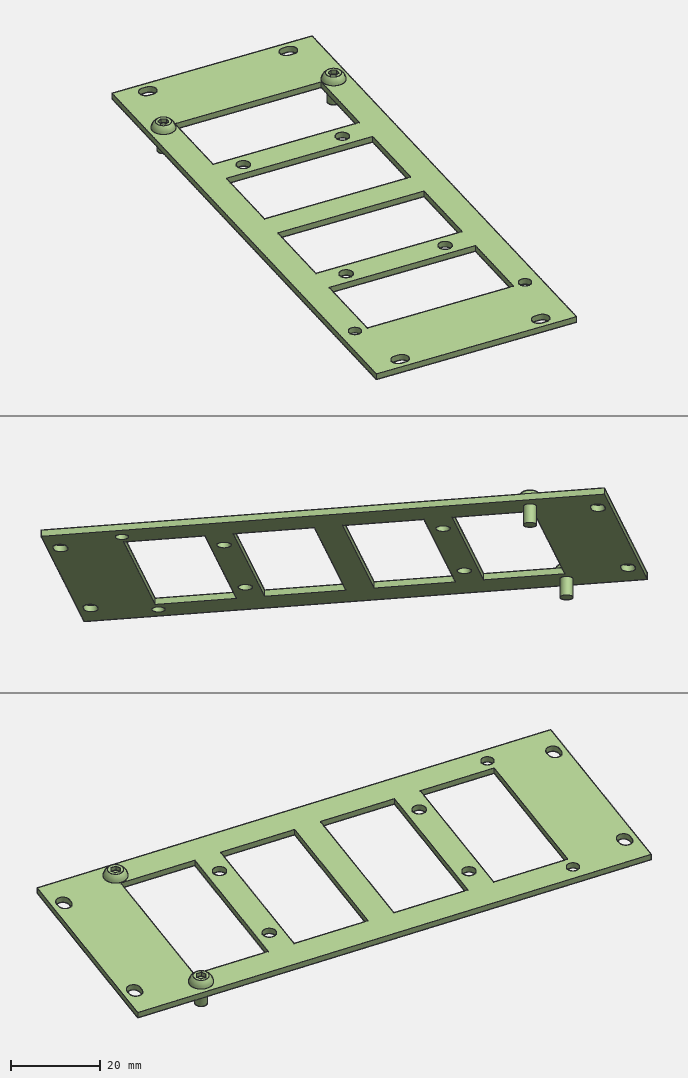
import cadquery as cq
import math

PANEL_LENGTH = 128.5
PANEL_WIDTH = 50.5
PANEL_THICKNESS = 1.5

WINDOW_COUNT = 4
WINDOW_LENGTH = 18.5
WINDOW_WIDTH = 36.9
WINDOW_ROW_LENGTH = 93.4
WINDOW_PITCH = (WINDOW_ROW_LENGTH - WINDOW_LENGTH) / (WINDOW_COUNT - 1)

WEB_HOLE_DIAMETER = 3.2
WEB_HOLE_X = WINDOW_PITCH
WEB_HOLE_Y = WINDOW_PITCH / 2

SLOT_LENGTH = 4.2
SLOT_WIDTH = 3.2
SLOT_X = 61.3
SLOT_Y = 17.7

SHANK_DIAMETER = 3.0
SCREW_X = 46.5
SCREW_Y = 21.5
SCREW_HEIGHT = 7.7
HEAD_DIAMETER = 5.7
HEAD_HEIGHT = 1.7
HEAD_TOP_DIAMETER = 3.6
HEAD_BULGE = 0.19

SOCKET_ACROSS_FLATS = 2.0
SOCKET_DEPTH = 1.0
SOCKET_TIP_ANGLE = 120


def mirrored_points(x, y):
    """Four points placed symmetrically about both panel centre lines."""
    return [(sx * x, sy * y) for sx in (-1, 1) for sy in (-1, 1)]


def make_panel():
    plate = cq.Workplane("XY").box(
        PANEL_LENGTH, PANEL_WIDTH, PANEL_THICKNESS, centered=(True, True, False)
    )
    base = cq.Workplane("XY")
    windows = (
        base.rarray(WINDOW_PITCH, 1.3, WINDOW_COUNT, 1)
        .rect(WINDOW_LENGTH, WINDOW_WIDTH)
        .extrude(PANEL_THICKNESS)
    )
    web_holes = (
        base.pushPoints(mirrored_points(WEB_HOLE_X, WEB_HOLE_Y))
        .circle(WEB_HOLE_DIAMETER / 2)
        .extrude(PANEL_THICKNESS)
    )
    slots = (
        base.pushPoints(mirrored_points(SLOT_X, SLOT_Y))
        .slot2D(SLOT_LENGTH, SLOT_WIDTH, 90)
        .extrude(PANEL_THICKNESS)
    )
    screw_holes = (
        base.pushPoints(mirrored_points(SCREW_X, SCREW_Y))
        .circle(SHANK_DIAMETER / 2)
        .extrude(PANEL_THICKNESS)
    )
    return plate.cut(windows).cut(web_holes).cut(slots).cut(screw_holes)


def make_socket(top_z):
    """Hexagonal socket cutter, flats facing X, with a cone below its floor."""
    floor_z = top_z - SOCKET_DEPTH
    cone_radius = SOCKET_ACROSS_FLATS / 2
    cone_depth = cone_radius / math.tan(math.radians(SOCKET_TIP_ANGLE / 2))
    hexagon = (
        cq.Workplane("XY", origin=(0, 0, floor_z))
        .transformed(rotate=(0, 0, 90))
        .polygon(6, SOCKET_ACROSS_FLATS, circumscribed=True)
        .extrude(SOCKET_DEPTH)
    )
    cone = (
        cq.Workplane("XZ")
        .moveTo(0, floor_z)
        .lineTo(cone_radius, floor_z)
        .lineTo(0, floor_z - cone_depth)
        .close()
        .revolve(360, (0, 0, 0), (0, 1, 0))
    )
    return hexagon.union(cone)


def make_screw(x, y):
    """Button-head screw seated on the panel, with its axis at (x, y)."""
    head_top = PANEL_THICKNESS + HEAD_HEIGHT
    shank_end = head_top - SCREW_HEIGHT
    head_radius = HEAD_DIAMETER / 2
    top_radius = HEAD_TOP_DIAMETER / 2
    shank_radius = SHANK_DIAMETER / 2

    flank_run = head_radius - top_radius
    flank_length = math.hypot(flank_run, HEAD_HEIGHT)
    flank_middle = (
        (head_radius + top_radius) / 2 + HEAD_BULGE * HEAD_HEIGHT / flank_length,
        PANEL_THICKNESS + HEAD_HEIGHT / 2 + HEAD_BULGE * flank_run / flank_length,
    )
    body = (
        cq.Workplane("XZ")
        .moveTo(0, shank_end)
        .lineTo(shank_radius, shank_end)
        .lineTo(shank_radius, PANEL_THICKNESS)
        .lineTo(head_radius, PANEL_THICKNESS)
        .threePointArc(flank_middle, (top_radius, head_top))
        .lineTo(0, head_top)
        .close()
        .revolve(360, (0, 0, 0), (0, 1, 0))
    )
    return body.cut(make_socket(head_top)).translate((x, y, 0))


panel = make_panel()
screws = [make_screw(-SCREW_X, side * SCREW_Y) for side in (-1, 1)]

result = cq.Compound.makeCompound([panel.val(), *[screw.val() for screw in screws]])